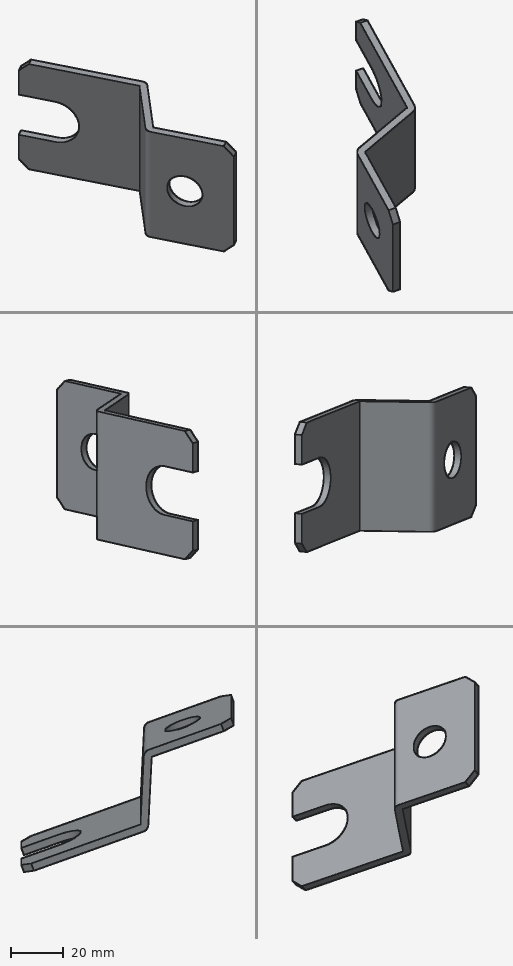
import cadquery as cq
import math

length = 94.0
depth = 29.0
height = 50.0
thickness = 3.0

rear_bend_x = 48.0
front_bend_x = 61.0

corner_chamfer = 4.0
slot_width = 19.0
slot_depth = 24.0
hole_diameter = 14.0
hole_x = 74.45

front_inner_y = thickness
rear_inner_y = depth - thickness

corner_run = front_bend_x - rear_bend_x
corner_drop = rear_inner_y - front_inner_y
corner_distance = math.hypot(corner_run, corner_drop)
web_angle = math.atan2(corner_drop, corner_run) + math.asin(thickness / corner_distance)


def outside_of_bend(corner_x, corner_y, direction):
    """Point one thickness from an inner bend corner."""
    return (
        corner_x + thickness * math.cos(direction),
        corner_y + thickness * math.sin(direction),
    )


def bent_sheet():
    """Z-shaped sheet with sharp inner and rounded outer bends."""
    up = math.pi / 2
    web_normal = up - web_angle
    middle = (up + web_normal) / 2
    rear_corner = (rear_bend_x, rear_inner_y)
    front_corner = (front_bend_x, front_inner_y)
    return (
        cq.Workplane("XY")
        .moveTo(0, rear_inner_y)
        .lineTo(*rear_corner)
        .lineTo(*outside_of_bend(*front_corner, web_normal + math.pi))
        .threePointArc(
            outside_of_bend(*front_corner, middle + math.pi),
            (front_bend_x, 0),
        )
        .lineTo(length, 0)
        .lineTo(length, front_inner_y)
        .lineTo(*front_corner)
        .lineTo(*outside_of_bend(*rear_corner, web_normal))
        .threePointArc(
            outside_of_bend(*rear_corner, middle),
            (rear_bend_x, depth),
        )
        .lineTo(0, depth)
        .close()
        .extrude(height / 2, both=True)
    )


def through_plane():
    """Rear XZ plane whose normal points toward the front."""
    return cq.Workplane("XZ", origin=(0, depth, 0))


def slot_cutter():
    """Round-ended slot open at the left end."""
    radius = slot_width / 2
    arc_center_x = slot_depth - radius
    return (
        through_plane()
        .moveTo(0, -radius)
        .lineTo(arc_center_x, -radius)
        .threePointArc((slot_depth, 0), (arc_center_x, radius))
        .lineTo(0, radius)
        .close()
        .extrude(depth)
    )


def hole_cutter():
    """Round hole through the front flange."""
    return through_plane().center(hole_x, 0).circle(hole_diameter / 2).extrude(depth)


sheet = bent_sheet()
sheet = sheet.faces("<X or >X").edges("|Y").chamfer(corner_chamfer)
result = sheet.cut(slot_cutter()).cut(hole_cutter())